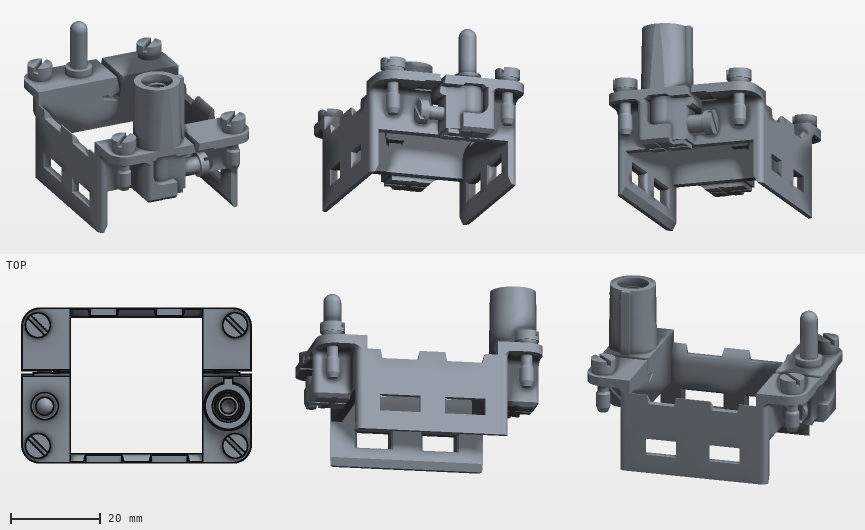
import cadquery as cq

LENGTH = 51.15
WIDTH = 34.5
HEIGHT = 36.3
HALF_LENGTH = LENGTH / 2
HALF_WIDTH = WIDTH / 2

FLANGE_TOP = 21.5
FLANGE_BOTTOM = 19.45
FLANGE_CORNER_RADIUS = 4.1
OPENING_HALF = 14.75
OUTLINE_RADIUS = 1.25
MARGIN = 5.1
PICK_RANGE = 0.05

BODY_HALF = 17.2
END_WALL_BOTTOM = 9.9
WALL_THICKNESS = 2.05
WALL_TOP = 18.4
WALL_ARC_BOTTOM = 14.05
WALL_TOP_THICKNESS = 0.25
WALL_FOOT_THICKNESS = 1.2
WALL_FOOT_HEIGHT = 1.75

NOTCH_FLOOR = 16.35
NOTCH_FLOOR_THICKNESS = 1.7
NOTCH_FLARE = 0.4
FRONT_NOTCH = (3.25, 11.35)
BACK_NOTCH = (4.4, 10.35)

WINDOW_BOTTOM = 4.3
WINDOW_TOP = 8.1
FRONT_WINDOW = (2.75, 11.95)
BACK_WINDOW_INNER = (3.25, 11.8)
BACK_WINDOW_OUTER = (3.9, 10.9)
WINDOW_BEVEL = 0.5

BLOCK_FRONT = -9.5
BLOCK_BACK = 1.3
FOOT_BOTTOM = 8.95
FOOT_BEVEL = 0.9
FOOT_BACK = 0.65
FOOT_SIDE_BACK_X = -22.8
FOOT_SIDE_FRONT_X = -22.5
FOOT_GROOVE_WIDTH = 1.45
FOOT_GROOVE_DEPTH = 0.15
CONTACT_X = 20.45
CONTACT_Y = -4.6

RECESS_BACK_X = -22.85
RECESS_SLEEVE_X = -23.45
RECESS_SLEEVE_Y = -3.15
RECESS_FLOOR = 13.1
RECESS_STEP_Y = -1.95
RECESS_FRONT = -7.85
RECESS_CORNER_RADIUS = 2.55
RECESS_POCKET_DEPTH = 4.1
RECESS_HUMP_TOP = 20.0
RECESS_HUMP_HALF = 2.15
CONTACT_SLEEVE_DIAMETER = 6.6

LIP_HALF_LENGTH = 23.0
LIP_BOTTOM = 17.5
LIP_EDGE = 2.8
SPLIT_FRONT_TOP = 2.1
SPLIT_BACK_TOP = 3.55
SPLIT_BACK_BOTTOM = 2.7
SPLIT_BOTTOM = 15.8
SPLIT_CORNER = 0.55
SPLIT_TIP_Y = -1.55
SPLIT_TIP_FLOOR_Y = -1.0
SPLIT_TIP_FLOOR = 16.7
HEAD_RELIEF_FRONT = 3.05
HEAD_RELIEF_BACK = 7.05
HEAD_RELIEF_TOP = 19.8

SCREW_X = 22.0
SCREW_Y = 13.45
SCREW_HEAD_DIAMETER = 5.5
SCREW_NECK_DIAMETER = 5.0
SCREW_SHANK_DIAMETER = 2.5
SCREW_THREAD_DIAMETER = 3.15
SCREW_TIP_DIAMETER = 2.25
SCREW_TOP = 24.8
SCREW_HEAD_BOTTOM = 22.65
SHANK_BOTTOM = 17.05
THREAD_TOP = 16.5
THREAD_BOTTOM = 13.4
SCREW_TIP = 12.2
SLOT_WIDTH = 0.95
SLOT_DEPTH = 1.3
SLOT_ANGLE = -45.0

TERMINAL_Z = 13.85
TERMINAL_HEAD_DIAMETER = 5.5
TERMINAL_HEAD_FRONT = 5.15
TERMINAL_HEAD_BACK = 7.1
TERMINAL_SLOT_WIDTH = 0.75
TERMINAL_SLOT_DEPTH = 1.0
LEFT_TERMINAL_DIAMETER = 3.0
RIGHT_TERMINAL_DIAMETER = 4.0

PIN_DIAMETER = 4.0
PIN_TOP = 33.95
PIN_COLLAR_DIAMETER = 6.05
PIN_COLLAR_TOP = 23.15

TOWER_TOP_DIAMETER = 10.3
TOWER_BASE_DIAMETER = 10.8
TOWER_BORE_TOP_DIAMETER = 7.1
TOWER_BORE_BASE_DIAMETER = 6.05
TOWER_SHOULDER_DIAMETER = 5.7
TOWER_SHOULDER_Z = 23.55
KEY_WIDTH = 1.95
KEY_TOP_Y = 1.65
KEY_BASE_Y = 1.8
SLEEVE_DIAMETER = 4.75
SLEEVE_BORE_DIAMETER = 3.3
SLEEVE_TOP = 34.8
SLEEVE_BORE_DEPTH = 10.25
BORE_TIP_DEPTH = 0.95


def block_between(x0, x1, y0, y1, z0, z1):
    """Box given by its limits along X, Y and Z."""
    return cq.Workplane("XY").box(x1 - x0, y1 - y0, z1 - z0, centered=False).translate((x0, y0, z0))


def along_x(points, x0, x1):
    """Closed (y, z) outline extruded from x0 to x1."""
    return cq.Workplane("YZ").workplane(offset=x0).polyline(points).close().extrude(x1 - x0)


def along_y(points, y0, y1):
    """Closed (x, z) outline extruded from y0 to y1."""
    return cq.Workplane("XZ", origin=(0, y0, 0)).polyline(points).close().extrude(y0 - y1)


def cylinder(diameter, z0, z1):
    return cq.Workplane("XY").workplane(offset=z0).circle(diameter / 2).extrude(z1 - z0)


def turned(profile):
    """Solid of revolution about Z from (radius, z) points that start and end on the axis."""
    return cq.Workplane("XZ").polyline(profile).close().revolve(360, (0, 0, 0), (0, 1, 0))


def end_body():
    """Left flange with the end wall and contact block below it, blended by fillets."""
    outline = (
        cq.Workplane("XY").workplane(offset=END_WALL_BOTTOM)
        .polyline([
            (-OPENING_HALF, -HALF_WIDTH), (-BODY_HALF, -HALF_WIDTH), (-BODY_HALF, BLOCK_FRONT),
            (-HALF_LENGTH, BLOCK_FRONT), (-HALF_LENGTH, BLOCK_BACK), (-BODY_HALF, BLOCK_BACK),
            (-BODY_HALF, HALF_WIDTH), (-OPENING_HALF, HALF_WIDTH),
        ]).close().extrude(FLANGE_BOTTOM - END_WALL_BOTTOM)
    )
    for x, y in ((-BODY_HALF, -HALF_WIDTH), (-BODY_HALF, BLOCK_FRONT),
                 (-HALF_LENGTH, BLOCK_FRONT), (-BODY_HALF, HALF_WIDTH)):
        corner = cq.selectors.BoxSelector((x - PICK_RANGE, y - PICK_RANGE, 0),
                                          (x + PICK_RANGE, y + PICK_RANGE, HEIGHT))
        outline = outline.edges("|Z").edges(corner).fillet(OUTLINE_RADIUS)

    slab = block_between(-HALF_LENGTH - MARGIN, -OPENING_HALF, -HALF_WIDTH - MARGIN,
                         HALF_WIDTH + MARGIN, FLANGE_BOTTOM, FLANGE_TOP)
    body = slab.union(outline)

    low = FLANGE_BOTTOM - PICK_RANGE
    high = FLANGE_BOTTOM + PICK_RANGE
    outline_edges = cq.selectors.BoxSelector(
        (-HALF_LENGTH - PICK_RANGE, -HALF_WIDTH - PICK_RANGE, low),
        (-OPENING_HALF - PICK_RANGE, HALF_WIDTH + PICK_RANGE, high))
    rear_edge = cq.selectors.BoxSelector(
        (-HALF_LENGTH, BLOCK_BACK - PICK_RANGE, low), (-BODY_HALF, BLOCK_BACK + PICK_RANGE, high))
    body = body.edges(outline_edges - rear_edge).fillet(OUTLINE_RADIUS)

    trim = (
        cq.Workplane("XY").rect(LENGTH, WIDTH).extrude(HEIGHT)
        .edges("|Z").fillet(FLANGE_CORNER_RADIUS)
    )
    return body.intersect(trim)


def block_foot():
    """Bevelled foot below the left contact block, with a shallow cross groove."""
    foot = block_between(-HALF_LENGTH, -BODY_HALF, BLOCK_FRONT, FOOT_BACK, FOOT_BOTTOM, END_WALL_BOTTOM)
    foot = foot.edges("|Z and <X and <Y").fillet(OUTLINE_RADIUS)
    foot = foot.faces("<Z").edges("<X or <Y or %CIRCLE").chamfer(FOOT_BEVEL)
    side = (
        cq.Workplane("XY").workplane(offset=FOOT_BOTTOM)
        .polyline([(-HALF_LENGTH, FOOT_BACK), (FOOT_SIDE_BACK_X, FOOT_BACK),
                   (FOOT_SIDE_FRONT_X, RECESS_STEP_Y), (-HALF_LENGTH, RECESS_STEP_Y)])
        .close().extrude(END_WALL_BOTTOM - FOOT_BOTTOM)
    )
    foot = foot.cut(side)
    floor = FOOT_BOTTOM + FOOT_GROOVE_DEPTH
    half = FOOT_GROOVE_WIDTH / 2
    foot = foot.cut(block_between(-CONTACT_X - half, -CONTACT_X + half, -HALF_WIDTH, HALF_WIDTH, 0, floor))
    return foot.cut(block_between(-LENGTH, 0, CONTACT_Y - half, CONTACT_Y + half, 0, floor))


def block_recess():
    """Side recess of the left block, running round the contact's vertical sleeve."""
    outer = -HALF_LENGTH - MARGIN
    inner = -HALF_LENGTH + RECESS_POCKET_DEPTH
    slope = (RECESS_BACK_X - RECESS_SLEEVE_X) / (BLOCK_BACK - RECESS_SLEEVE_Y)
    front_x = RECESS_BACK_X - slope * (BLOCK_BACK - RECESS_FRONT)

    opening = block_between(outer, inner, RECESS_STEP_Y, BLOCK_BACK, 0, FLANGE_BOTTOM)
    pocket = block_between(outer, inner, RECESS_FRONT, RECESS_STEP_Y, RECESS_FLOOR, FLANGE_BOTTOM)
    pocket = pocket.edges("|X and <Y and <Z").fillet(RECESS_CORNER_RADIUS)
    hump_rise = RECESS_HUMP_TOP - FLANGE_BOTTOM
    hump_back = CONTACT_Y + RECESS_HUMP_HALF
    hump_front = CONTACT_Y - RECESS_HUMP_HALF
    hump = along_x([
        (hump_front - hump_rise, FLANGE_BOTTOM), (hump_front, RECESS_HUMP_TOP),
        (hump_back, RECESS_HUMP_TOP), (hump_back + hump_rise, FLANGE_BOTTOM),
    ], outer, inner)

    sleeve = cylinder(CONTACT_SLEEVE_DIAMETER, 0, HEIGHT).translate((-CONTACT_X, CONTACT_Y, 0))
    flank = (
        cq.Workplane("XY")
        .polyline([(RECESS_BACK_X, BLOCK_BACK), (front_x, RECESS_FRONT), (0, RECESS_FRONT), (0, BLOCK_BACK)])
        .close().extrude(HEIGHT)
        .intersect(block_between(outer, 0, CONTACT_Y, BLOCK_BACK, 0, HEIGHT))
    )
    return opening.union(pocket).union(hump).cut(sleeve).cut(flank)


def flange_split():
    """Gap between the left flanges, and the slot it opens into in the end wall."""
    outer = -HALF_LENGTH - MARGIN
    inner = -OPENING_HALF + MARGIN
    gap = along_x([
        (SPLIT_BACK_TOP, FLANGE_TOP), (SPLIT_BACK_BOTTOM, SPLIT_BOTTOM + SPLIT_CORNER),
        (SPLIT_BACK_BOTTOM - SPLIT_CORNER, SPLIT_BOTTOM), (BLOCK_BACK, SPLIT_BOTTOM),
        (BLOCK_BACK, LIP_BOTTOM), (LIP_EDGE - SPLIT_CORNER, LIP_BOTTOM),
        (LIP_EDGE, LIP_BOTTOM + SPLIT_CORNER), (SPLIT_FRONT_TOP, FLANGE_TOP),
    ], outer, inner)
    tail = along_x([
        (BLOCK_BACK, SPLIT_BOTTOM), (SPLIT_TIP_FLOOR_Y, SPLIT_TIP_FLOOR),
        (SPLIT_TIP_Y, LIP_BOTTOM), (BLOCK_BACK, LIP_BOTTOM),
    ], -BODY_HALF, inner)
    return gap.union(tail)


def flange_lip():
    """Stiffening lip below the rear edge of the left front flange."""
    return block_between(-LIP_HALF_LENGTH, -OPENING_HALF, BLOCK_BACK, LIP_EDGE,
                         LIP_BOTTOM, FLANGE_BOTTOM)


def end_frame():
    head_relief = block_between(-HALF_LENGTH, -BODY_HALF - OUTLINE_RADIUS, HEAD_RELIEF_FRONT,
                                HEAD_RELIEF_BACK, FLANGE_BOTTOM, HEAD_RELIEF_TOP)
    frame = end_body().union(block_foot()).cut(block_recess())
    return frame.cut(head_relief).union(flange_lip()).cut(flange_split())


def wall_blank():
    """Long wall in its back position: thin curved crest above, bevelled foot below."""
    inner = HALF_WIDTH - WALL_THICKNESS
    wall = (
        cq.Workplane("YZ").workplane(offset=-BODY_HALF)
        .moveTo(HALF_WIDTH, 0).lineTo(HALF_WIDTH, WALL_TOP)
        .lineTo(HALF_WIDTH - WALL_TOP_THICKNESS, WALL_TOP)
        .threePointArc((HALF_WIDTH - NOTCH_FLOOR_THICKNESS, NOTCH_FLOOR), (inner, WALL_ARC_BOTTOM))
        .lineTo(inner, WALL_FOOT_HEIGHT).lineTo(HALF_WIDTH - WALL_FOOT_THICKNESS, 0)
        .close().extrude(2 * BODY_HALF)
    )
    return wall.edges("|Z and >Y").fillet(OUTLINE_RADIUS)


def notches(spans):
    """Pair of flared notches through the wall crest, mirrored about X = 0."""
    near, far = spans
    notch = along_y([
        (near, NOTCH_FLOOR), (near - NOTCH_FLARE, WALL_TOP),
        (far + NOTCH_FLARE, WALL_TOP), (far, NOTCH_FLOOR),
    ], HALF_WIDTH - WALL_THICKNESS, HALF_WIDTH)
    return notch.union(notch.mirror("YZ"))


def windows(inner_span, outer_span):
    """Pair of windows through a long wall, changing width from its inner to its outer face."""
    y_in = HALF_WIDTH - WALL_THICKNESS
    window = (
        cq.Workplane("XY").workplane(offset=WINDOW_BOTTOM)
        .polyline([(inner_span[0], y_in), (outer_span[0], HALF_WIDTH),
                   (outer_span[1], HALF_WIDTH), (inner_span[1], y_in)])
        .close().extrude(WINDOW_TOP - WINDOW_BOTTOM)
    )
    return window.union(window.mirror("YZ"))


def window_bevels(span, side_bevel):
    """Bevels round the inner edges of a window pair; the jambs flare by side_bevel."""
    width = span[1] - span[0]
    height = WINDOW_TOP - WINDOW_BOTTOM
    centre = (sum(span) / 2, HALF_WIDTH - WALL_THICKNESS, (WINDOW_TOP + WINDOW_BOTTOM) / 2)
    bevel = (
        cq.Workplane("XZ", origin=centre)
        .rect(width + 2 * side_bevel, height + 2 * WINDOW_BEVEL)
        .workplane(offset=-WINDOW_BEVEL).rect(width, height).loft()
    )
    return bevel.union(bevel.mirror("YZ"))


def long_walls():
    blank = wall_blank()
    back = blank.cut(notches(BACK_NOTCH))
    back = back.cut(windows(BACK_WINDOW_INNER, BACK_WINDOW_OUTER)).cut(window_bevels(BACK_WINDOW_INNER, 0))
    front = blank.cut(notches(FRONT_NOTCH))
    front = front.cut(windows(FRONT_WINDOW, FRONT_WINDOW)).cut(window_bevels(FRONT_WINDOW, WINDOW_BEVEL))
    return back.union(front.mirror("XZ"))


def fixing_screw():
    head, neck, shank, thread, tip = (
        diameter / 2 for diameter in (SCREW_HEAD_DIAMETER, SCREW_NECK_DIAMETER, SCREW_SHANK_DIAMETER,
                                      SCREW_THREAD_DIAMETER, SCREW_TIP_DIAMETER))
    screw = turned([
        (0, SCREW_TOP), (head, SCREW_TOP), (head, SCREW_HEAD_BOTTOM), (neck, SCREW_HEAD_BOTTOM),
        (neck, FLANGE_TOP), (shank, FLANGE_TOP), (shank, SHANK_BOTTOM), (thread, THREAD_TOP),
        (thread, THREAD_BOTTOM), (tip, SCREW_TIP), (0, SCREW_TIP),
    ])
    slot = cq.Workplane("XY").box(2 * SCREW_HEAD_DIAMETER, SLOT_WIDTH, 2 * SLOT_DEPTH)
    slot = slot.rotate((0, 0, 0), (0, 0, 1), SLOT_ANGLE)
    return screw.cut(slot.translate((0, 0, SCREW_TOP)))


def terminal_screw(shaft_diameter):
    """Horizontal slotted screw at X = 0, pointing forward into the block."""
    axis = cq.Workplane("XZ", origin=(0, TERMINAL_HEAD_BACK, TERMINAL_Z))
    head = axis.circle(TERMINAL_HEAD_DIAMETER / 2).extrude(TERMINAL_HEAD_BACK - TERMINAL_HEAD_FRONT)
    shaft = axis.circle(shaft_diameter / 2).extrude(TERMINAL_HEAD_BACK - BLOCK_BACK)
    slot = cq.Workplane("XY").box(2 * TERMINAL_HEAD_DIAMETER, 2 * TERMINAL_SLOT_DEPTH, TERMINAL_SLOT_WIDTH)
    slot = slot.rotate((0, 0, 0), (0, 1, 0), SLOT_ANGLE)
    return head.union(shaft).cut(slot.translate((0, TERMINAL_HEAD_BACK, TERMINAL_Z)))


def contact_pin():
    radius = PIN_DIAMETER / 2
    shaft = cylinder(PIN_DIAMETER, FLANGE_TOP, PIN_TOP - radius)
    dome = cq.Workplane("XY").sphere(radius).translate((0, 0, PIN_TOP - radius))
    return shaft.union(dome).union(cylinder(PIN_COLLAR_DIAMETER, FLANGE_TOP, PIN_COLLAR_TOP))


def socket_tower():
    """Tapered tower with a key rib, holding a blind-bored contact sleeve."""
    shell = turned([
        (0, FLANGE_TOP), (TOWER_BASE_DIAMETER / 2, FLANGE_TOP),
        (TOWER_TOP_DIAMETER / 2, HEIGHT), (0, HEIGHT),
    ])
    key = along_x([
        (0, FLANGE_TOP), (KEY_BASE_Y - CONTACT_Y, FLANGE_TOP), (KEY_TOP_Y - CONTACT_Y, HEIGHT), (0, HEIGHT),
    ], -KEY_WIDTH / 2, KEY_WIDTH / 2)
    bore = turned([
        (0, FLANGE_TOP), (TOWER_SHOULDER_DIAMETER / 2, FLANGE_TOP),
        (TOWER_SHOULDER_DIAMETER / 2, TOWER_SHOULDER_Z), (TOWER_BORE_BASE_DIAMETER / 2, TOWER_SHOULDER_Z),
        (TOWER_BORE_TOP_DIAMETER / 2, HEIGHT), (0, HEIGHT),
    ])
    bore_floor = SLEEVE_TOP - SLEEVE_BORE_DEPTH
    sleeve_bore = turned([
        (0, bore_floor - BORE_TIP_DEPTH), (SLEEVE_BORE_DIAMETER / 2, bore_floor),
        (SLEEVE_BORE_DIAMETER / 2, SLEEVE_TOP), (0, SLEEVE_TOP),
    ])
    sleeve = cylinder(SLEEVE_DIAMETER, FLANGE_TOP, SLEEVE_TOP).cut(sleeve_bore)
    tower = shell.union(key).cut(bore).union(sleeve).translate((CONTACT_X, CONTACT_Y, 0))
    return tower.intersect(block_between(0, HALF_LENGTH, -HALF_WIDTH, HALF_WIDTH, FLANGE_TOP, HEIGHT))


left_end = end_frame()
result = long_walls().union(left_end).union(left_end.mirror("YZ"))

screw = fixing_screw()
for x in (-SCREW_X, SCREW_X):
    for y in (-SCREW_Y, SCREW_Y):
        result = result.union(screw.translate((x, y, 0)))

result = result.union(terminal_screw(LEFT_TERMINAL_DIAMETER).translate((-CONTACT_X, 0, 0)))
result = result.union(terminal_screw(RIGHT_TERMINAL_DIAMETER).translate((CONTACT_X, 0, 0)))
result = result.union(contact_pin().translate((-CONTACT_X, CONTACT_Y, 0)))
result = result.union(socket_tower())